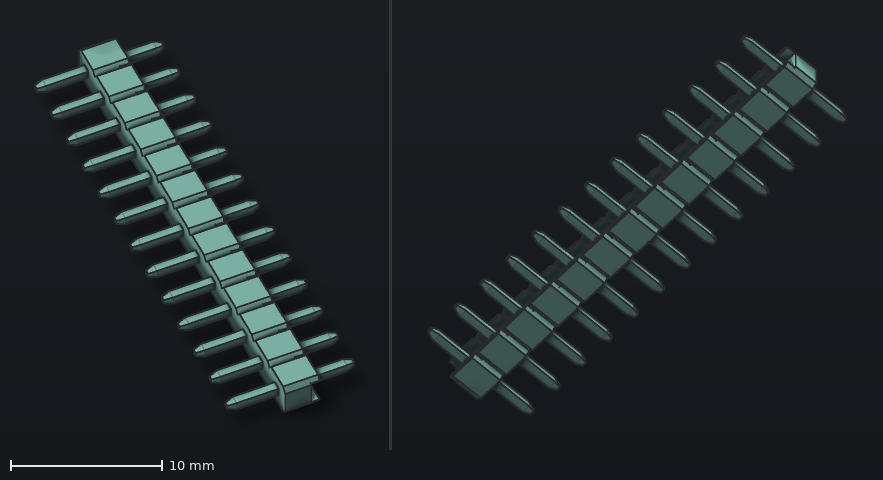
import cadquery as cq

pin_count = 13
length = 33.02
height = 2.5
pitch = length / pin_count

strip_depth = 2.55
corner = 0.35
groove_depth = 0.35
groove_half_width = 0.3
lip_depth = 0.65
lip_thickness = 0.3

pin_length = 9.2
pin_width = 0.63
pin_front = 3.65
pin_offset = -0.1
tip_length = 0.6
tip_width = 0.33

overlap = 0.33


def cell_center(index):
    """X position of the middle of a cell."""
    return (index + 0.5) * pitch - length / 2


def make_strip():
    """Block with bevelled ends, V grooves between cells and a channel along the back."""
    strip = (
        cq.Workplane("XY")
        .box(length, strip_depth, height, centered=(True, False, True))
        .edges("|Y")
        .chamfer(corner)
    )

    for index in range(1, pin_count):
        groove_x = index * pitch - length / 2
        for side in (-1, 1):
            surface = side * height / 2
            groove = (
                cq.Workplane("XZ")
                .polyline([
                    (groove_x - groove_half_width, surface),
                    (groove_x, surface - side * groove_depth),
                    (groove_x + groove_half_width, surface),
                ])
                .close()
                .extrude(-strip_depth)
            )
            strip = strip.cut(groove)

    channel_height = height - 2 * lip_thickness
    channel = (
        cq.Workplane("XY")
        .box(length + overlap, lip_depth + overlap, channel_height, centered=(True, False, True))
        .translate((0, strip_depth - lip_depth, 0))
    )
    return strip.cut(channel)


def make_tip(end_y, direction):
    """Square pyramid frustum that narrows to end_y along the given Y direction."""
    base_y = end_y - direction * tip_length
    base_plane = cq.Plane(origin=(0, base_y, 0), xDir=(1, 0, 0), normal=(0, direction, 0))
    return (
        cq.Workplane(base_plane)
        .rect(pin_width, pin_width)
        .workplane(offset=tip_length)
        .rect(tip_width, tip_width)
        .loft(ruled=True)
    )


def make_pin():
    """Square pin along Y with a tapered tip at both ends."""
    front_end = -pin_front
    rear_end = pin_length - pin_front
    shaft = (
        cq.Workplane("XY")
        .box(pin_width, pin_length - 2 * tip_length, pin_width, centered=(True, False, True))
        .translate((0, front_end + tip_length, 0))
    )
    return shaft.union(make_tip(front_end, -1)).union(make_tip(rear_end, 1))


result = make_strip()
pin = make_pin()
for cell in range(pin_count):
    result = result.union(pin.translate((cell_center(cell) + pin_offset, 0, 0)))